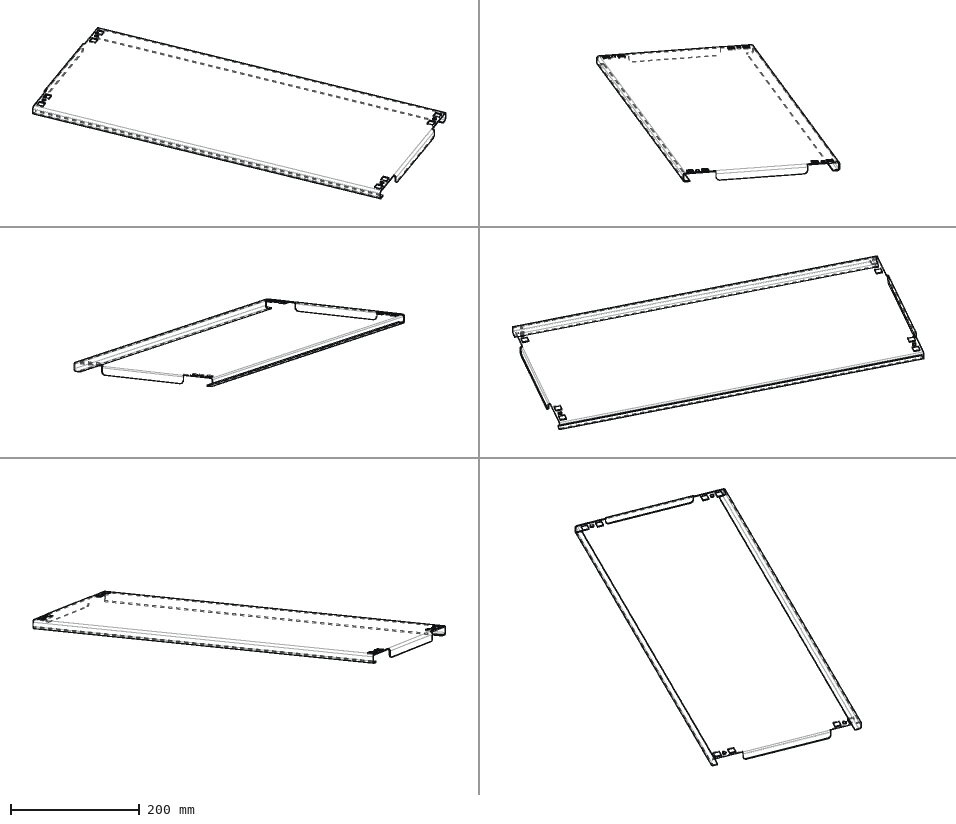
import cadquery as cq

overall_length = 599.0
overall_width = 250.0
height = 15.0
thickness = 2.0
bend_radius = 4.0
inner_radius = bend_radius - thickness
panel_length = overall_length - 2 * bend_radius

lip_reach = 11.0

tab_width = 146.0
tab_corner_radius = 6.0

square_inset_x = 8.5
round_inset_x = 8.0
square_size = 10.0
outer_square_inset_y = 13.5
round_inset_y = 25.0
round_diameter = 6.0
inner_square_inset_y = 37.5

half_length = panel_length / 2
half_width = overall_width / 2
half_overall = overall_length / 2


def curled_edge():
    """C-shaped edge at +Y: top bend, outer wall, bottom bend and inward lip."""
    bend_y = half_width - bend_radius
    lip_y = half_width - lip_reach
    inner_y = half_width - thickness
    upper_z = height - bend_radius
    profile = (
        cq.Workplane("YZ", origin=(-half_length, 0, 0))
        .moveTo(bend_y, height)
        .radiusArc((half_width, upper_z), bend_radius)
        .lineTo(half_width, bend_radius)
        .radiusArc((bend_y, 0), bend_radius)
        .lineTo(lip_y, 0)
        .lineTo(lip_y, thickness)
        .lineTo(bend_y, thickness)
        .radiusArc((inner_y, bend_radius), -inner_radius)
        .lineTo(inner_y, upper_z)
        .radiusArc((bend_y, height - thickness), -inner_radius)
        .close()
    )
    return profile.extrude(panel_length)


def end_tab():
    """Tab at +X, bent straight down, with its two lower corners rounded."""
    upper_z = height - bend_radius
    inner_x = half_overall - thickness
    profile = (
        cq.Workplane("XZ", origin=(0, tab_width / 2, 0))
        .moveTo(half_length, height)
        .radiusArc((half_overall, upper_z), bend_radius)
        .lineTo(half_overall, 0)
        .lineTo(inner_x, 0)
        .lineTo(inner_x, upper_z)
        .radiusArc((half_length, height - thickness), -inner_radius)
        .close()
    )
    tab = profile.extrude(tab_width)
    return tab.faces("<Z").edges("|X").fillet(tab_corner_radius)


def flat_panel():
    """Flat top sheet between the two curled edges."""
    flat_width = overall_width - 2 * bend_radius
    return cq.Workplane("XY", origin=(0, 0, height - thickness)).box(
        panel_length, flat_width, thickness, centered=(True, True, False)
    )


def mirrored_points(inset_x, inset_y):
    """The four corner positions of one hole type."""
    x = half_length - inset_x
    y = half_width - inset_y
    return [(side_x * x, side_y * y) for side_x in (-1, 1) for side_y in (-1, 1)]


def corner_holes():
    """Cutters for two square holes and one round hole in each corner of the top sheet."""
    plane = cq.Workplane("XY", origin=(0, 0, height - thickness))
    square_points = mirrored_points(square_inset_x, outer_square_inset_y) + mirrored_points(square_inset_x, inner_square_inset_y)
    squares = plane.pushPoints(square_points).rect(square_size, square_size).extrude(thickness)
    rounds = plane.pushPoints(mirrored_points(round_inset_x, round_inset_y)).circle(round_diameter / 2).extrude(thickness)
    return squares.union(rounds)


edge = curled_edge()
tab = end_tab()
result = (
    flat_panel()
    .union(edge)
    .union(edge.mirror("XZ"))
    .union(tab)
    .union(tab.mirror("YZ"))
    .cut(corner_holes())
)